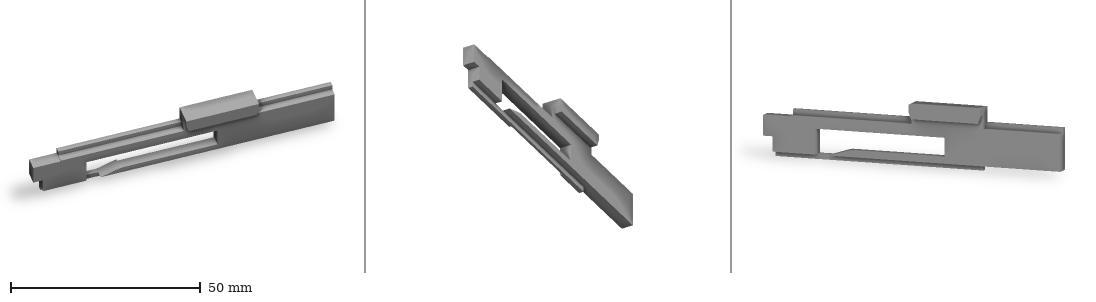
import cadquery as cq

length = 83.8
height = 17.1
thickness = 3.35
lip_thickness = 1.3
hook_width = 5.5

core_bottom = 1.5
core_top = 11.4
lip_top = 12.9
lower_lip_end = 61.25

nose_bottom = 5.6
nose_top = 11.15
nose_length = 2.7
nose_shoulder = 7.6

block_start = 41.8
block_end = 62.0
hook_flange_bottom = 15.1
hook_bottom = 13.2
hook_taper = 0.7

window_start = 14.75
window_end = 51.2
window_top = 8.5
arm_top = 3.3
arm_inset = 0.6
inset_start = 24.3
ramp_foot = 18.7
bend_start = 25.3
bend_middle = (23.8, 3.1)
bend_end = (22.3, 2.7)


def box(x0, x1, y0, y1, z0, z1):
    """Box between two limits on each axis."""
    return cq.Workplane("XY").box(x1 - x0, y1 - y0, z1 - z0, centered=False).translate((x0, y0, z0))


def make_bar():
    """Full-thickness core with a thin lip above and below, ending in a stepped nose."""
    core = box(0, thickness, nose_length, length, core_bottom, core_top)
    upper_lip = box(0, lip_thickness, nose_shoulder, length, core_top, lip_top)
    lower_lip = box(0, lip_thickness, nose_length, lower_lip_end, 0, core_bottom)
    nose = box(0, thickness, 0, nose_length, nose_bottom, nose_top)
    above_nose = box(0, thickness, 0, nose_shoulder, nose_top, height)
    return core.union(upper_lip).union(lower_lip).union(nose).cut(above_nose)


def make_block():
    """Raised block whose hook narrows toward its lower edge."""
    body = box(0, thickness, block_start, block_end, core_bottom, height)
    flange = box(0, hook_width, block_start, block_end, hook_flange_bottom, height)
    hook = (
        cq.Workplane("YZ", origin=(thickness, 0, 0))
        .moveTo(block_start, hook_flange_bottom)
        .lineTo(block_end, hook_flange_bottom)
        .lineTo(block_end - hook_taper, hook_bottom)
        .lineTo(block_start + hook_taper, hook_bottom)
        .close()
        .extrude(hook_width - thickness)
    )
    return body.union(flange).union(hook)


def make_window():
    """Through window with a rounded ramp rising to the top of the arm."""
    return (
        cq.Workplane("YZ")
        .moveTo(window_start, core_bottom)
        .lineTo(ramp_foot, core_bottom)
        .lineTo(*bend_end)
        .threePointArc(bend_middle, (bend_start, arm_top))
        .lineTo(window_end, arm_top)
        .lineTo(window_end, window_top)
        .lineTo(window_start, window_top)
        .close()
        .extrude(thickness)
    )


arm_recess = box(0, arm_inset, inset_start, window_end, 0, arm_top)

result = make_bar().union(make_block()).cut(make_window()).cut(arm_recess)